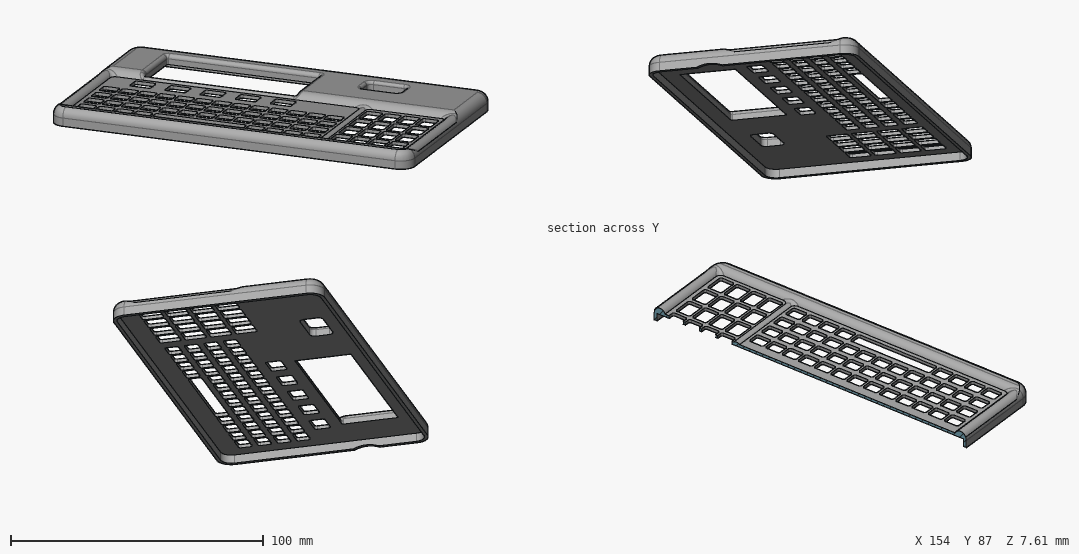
import cadquery as cq
import math

LENGTH = 154.0
WIDTH = 87.0
HEIGHT = 7.61
CORNER_RADIUS = 6.0
EDGE_RADIUS = 4.1
WALL = 1.5

CLEARANCE = 2.0

FLOOR_Z = 5.0
FLOOR_INSET_X = 5.6
FLOOR_FRONT_Y = -35.7
FLOOR_BACK_Y = 8.65
RECESS_CORNER_RADIUS = 2.5
PLATE = 1.5

STEP_RUN = 4.57

SIDE_RIM_OUTER_INSET = 0.12
SIDE_RIM_OUTER_Z = 4.5
SIDE_RIM_CREST_INSET = 2.85
SIDE_RIM_CREST_Z = 6.75

FRONT_RIM_RUN = 3.5
FRONT_RIM_Z = 7.35
FRONT_RIM_MIDDLE_RUN = 1.2
FRONT_RIM_MIDDLE_Z = 6.55
FRONT_RIM_OUTER_Y = -40.8

DIVIDER_X = 36.2
DIVIDER_WIDTH = 3.0
DIVIDER_HEIGHT = 0.6

DISPLAY_SIZE = (65.2, 23.1)
DISPLAY_CENTER = (-26.0, 23.5)
DISPLAY_CORNER_RADIUS = 0.5
DISPLAY_LIP_RADIUS = 1.75

PORT_SIZE = (17.0, 9.5)
PORT_CENTER = (36.2, 29.7)
PORT_CORNER_RADIUS = 2.0
PORT_LIP_RADIUS = 1.3

KEY_PITCH = 8.0
KEY_CORNER_RADIUS = 0.9
LETTER_SIZE = (6.9, 5.6)
LETTER_COLUMNS = 13
LETTER_ROWS = 4
LETTER_FIRST_CENTER = (-66.05, -31.05)
SPACE_FIRST_COLUMN = 4
SPACE_LAST_COLUMN = 8

NUMBER_SIZE = (6.9, 8.8)
NUMBER_COLUMNS = 4
NUMBER_ROWS = 4
NUMBER_FIRST_CENTER = (42.1, -29.65)
NUMBER_ROW_PITCH = 10.45

FUNCTION_SIZE = (8.9, 6.5)
FUNCTION_COUNT = 5
FUNCTION_FIRST_CENTER = (-56.1, 3.45)
FUNCTION_PITCH = 15.0

NOTCH_HEIGHT = 1.1
NOTCH_Y = 16.8
NOTCH_WIDTH = 10.4


def outer_body():
    """Solid block with rounded corners and a rounded upper edge."""
    block = cq.Workplane("XY").box(LENGTH, WIDTH, HEIGHT, centered=(True, True, False))
    block = block.edges("|Z").fillet(CORNER_RADIUS)
    return block.faces(">Z").edges().fillet(EDGE_RADIUS)


def cavity():
    """Hollow of the open underside; its flat ceiling leaves the key plate above it."""
    return (
        cq.Workplane("XY")
        .rect(LENGTH - 2 * WALL, WIDTH - 2 * WALL)
        .extrude(FLOOR_Z - PLATE)
        .edges("|Z")
        .fillet(CORNER_RADIUS - WALL)
    )


def step_arc():
    """Middle and end of the rounded step that rises from the recess floor to the top face."""
    rise = HEIGHT - FLOOR_Z
    radius = (STEP_RUN**2 + rise**2) / (2 * rise)
    half_turn = math.atan2(rise, STEP_RUN)
    end_y = FLOOR_BACK_Y + STEP_RUN
    middle = (end_y - radius * math.sin(half_turn), HEIGHT - radius * (1 - math.cos(half_turn)))
    return middle, (end_y, HEIGHT)


def recess_cutter():
    """Space above the recess: a front-to-back profile crossed with a side-to-side profile."""
    sky = HEIGHT + CLEARANCE
    step_middle, step_end = step_arc()
    rim_crest = (FLOOR_FRONT_Y - FRONT_RIM_RUN, FRONT_RIM_Z)
    rim_middle = (FLOOR_FRONT_Y - FRONT_RIM_MIDDLE_RUN, FRONT_RIM_MIDDLE_Z)
    front_to_back = (
        cq.Workplane("YZ")
        .moveTo(FLOOR_FRONT_Y, FLOOR_Z)
        .lineTo(FLOOR_BACK_Y, FLOOR_Z)
        .threePointArc(step_middle, step_end)
        .lineTo(step_end[0], sky)
        .lineTo(FRONT_RIM_OUTER_Y, sky)
        .lineTo(FRONT_RIM_OUTER_Y, FRONT_RIM_Z)
        .lineTo(*rim_crest)
        .threePointArc(rim_middle, (FLOOR_FRONT_Y, FLOOR_Z))
        .close()
        .extrude(LENGTH, both=True)
    )
    outside = LENGTH / 2 + CLEARANCE
    floor_x = LENGTH / 2 - FLOOR_INSET_X
    crest_x = LENGTH / 2 - SIDE_RIM_CREST_INSET
    outer_x = LENGTH / 2 - SIDE_RIM_OUTER_INSET
    side_to_side = (
        cq.Workplane("XZ")
        .moveTo(-floor_x, FLOOR_Z)
        .threePointArc((-crest_x, SIDE_RIM_CREST_Z), (-outer_x, SIDE_RIM_OUTER_Z))
        .lineTo(-outside, SIDE_RIM_OUTER_Z)
        .lineTo(-outside, sky)
        .lineTo(outside, sky)
        .lineTo(outside, SIDE_RIM_OUTER_Z)
        .lineTo(outer_x, SIDE_RIM_OUTER_Z)
        .threePointArc((crest_x, SIDE_RIM_CREST_Z), (floor_x, FLOOR_Z))
        .lineTo(DIVIDER_X + DIVIDER_WIDTH / 2, FLOOR_Z)
        .threePointArc(
            (DIVIDER_X, FLOOR_Z + DIVIDER_HEIGHT), (DIVIDER_X - DIVIDER_WIDTH / 2, FLOOR_Z)
        )
        .close()
        .extrude(WIDTH, both=True)
    )
    cutter = front_to_back.intersect(side_to_side)
    meeting_curves = cutter.edges("%BSPLINE")
    return meeting_curves.fillet(RECESS_CORNER_RADIUS)


def window(center, size, corner_radius):
    """Upright prism that cuts a round-cornered rectangular opening."""
    prism = cq.Workplane("XY").center(*center).rect(*size).extrude(HEIGHT + CLEARANCE)
    return prism.edges("|Z").fillet(corner_radius)


def lip_edges(body, center, size):
    """Edges where a window meets the outside of the part, found within a small reach."""
    reach = 0.05
    low = (center[0] - size[0] / 2 - reach, center[1] - size[1] / 2 - reach, FLOOR_Z + reach)
    high = (center[0] + size[0] / 2 + reach, center[1] + size[1] / 2 + reach, HEIGHT + reach)
    return body.edges(cq.selectors.BoxSelector(low, high, boundingbox=True))


def key_openings(first_center, size, columns, rows, pitches, skipped=()):
    """Grid of key openings, leaving out the skipped (column, row) places."""
    centers = [
        (first_center[0] + column * pitches[0], first_center[1] + row * pitches[1])
        for column in range(columns)
        for row in range(rows)
        if (column, row) not in skipped
    ]
    prisms = cq.Workplane("XY").pushPoints(centers).rect(*size).extrude(HEIGHT + CLEARANCE)
    return prisms.edges("|Z").fillet(KEY_CORNER_RADIUS)


def all_key_openings():
    space_columns = range(SPACE_FIRST_COLUMN, SPACE_LAST_COLUMN + 1)
    space_spread = (len(space_columns) - 1) * KEY_PITCH
    space_x = LETTER_FIRST_CENTER[0] + SPACE_FIRST_COLUMN * KEY_PITCH + space_spread / 2
    letters = key_openings(
        LETTER_FIRST_CENTER,
        LETTER_SIZE,
        LETTER_COLUMNS,
        LETTER_ROWS,
        (KEY_PITCH, KEY_PITCH),
        skipped=[(column, 0) for column in space_columns],
    )
    space_bar = window(
        (space_x, LETTER_FIRST_CENTER[1]),
        (LETTER_SIZE[0] + space_spread, LETTER_SIZE[1]),
        KEY_CORNER_RADIUS,
    )
    numbers = key_openings(
        NUMBER_FIRST_CENTER,
        NUMBER_SIZE,
        NUMBER_COLUMNS,
        NUMBER_ROWS,
        (KEY_PITCH, NUMBER_ROW_PITCH),
    )
    functions = key_openings(
        FUNCTION_FIRST_CENTER, FUNCTION_SIZE, FUNCTION_COUNT, 1, (FUNCTION_PITCH, 0)
    )
    return letters.add(space_bar).add(numbers).add(functions).combine()


def wall_notch():
    """Arched cutter through the left wall."""
    return (
        cq.Workplane("YZ", origin=(-LENGTH / 2, NOTCH_Y, 0))
        .moveTo(-NOTCH_WIDTH / 2, 0)
        .threePointArc((0, NOTCH_HEIGHT), (NOTCH_WIDTH / 2, 0))
        .close()
        .extrude(WALL)
    )


body = outer_body().cut(recess_cutter())
body = body.cut(window(DISPLAY_CENTER, DISPLAY_SIZE, DISPLAY_CORNER_RADIUS))
body = body.cut(window(PORT_CENTER, PORT_SIZE, PORT_CORNER_RADIUS))
body = lip_edges(body, PORT_CENTER, PORT_SIZE).fillet(PORT_LIP_RADIUS)
body = lip_edges(body, DISPLAY_CENTER, DISPLAY_SIZE).fillet(DISPLAY_LIP_RADIUS)
body = body.cut(cavity())
body = body.cut(all_key_openings())
body = body.cut(wall_notch())
result = body